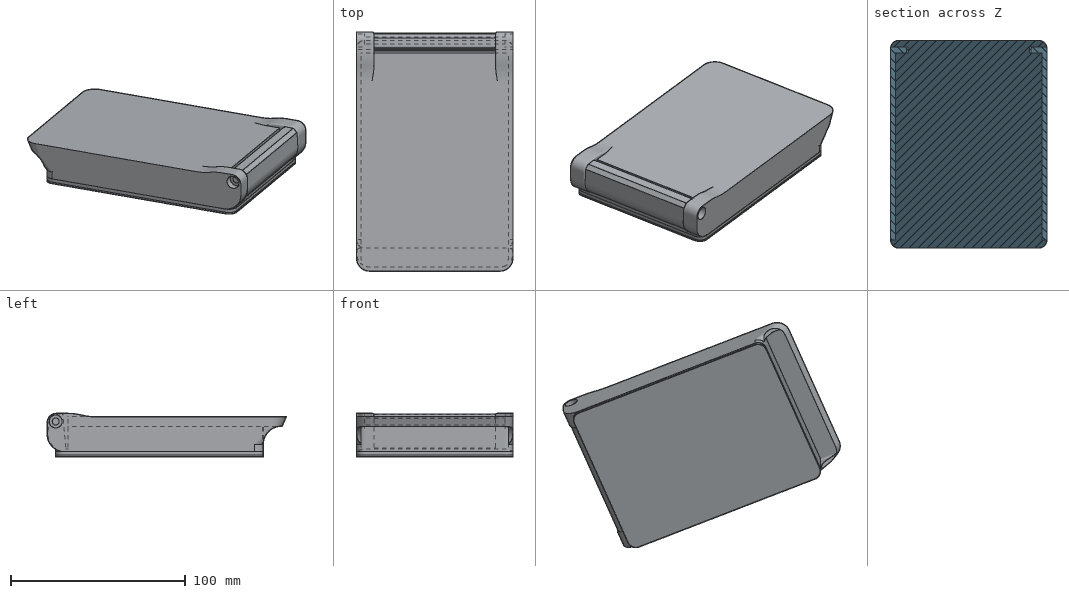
import cadquery as cq
import math

width = 89.6
overall_length = 136.93
base_length = 118.9
base_corner_radius = 4.9

pad_top = 1.0
plate_top = 3.0
box_top = 17.5
lid_top = 23.0
hinge_top = 25.0

back_overhang = 4.8
flank_thickness = 2.7
lip_setback = 2.4
lip_corner_radius = 7.6
post_top = 7.2
blend_top = 15.5

arm_width = 10.0
hinge_radius = 5.4
arm_flat_end = 12.0
arm_bend = 19.5
arm_end = 27.9
arm_bottom_radius = 10.0
arm_edge_radius = 1.0

bar_back = 0.5
bar_slope_start = 1.1
bar_flat_start = 3.4
bar_front = 8.95
bar_front_foot = 10.8
slot_floor = 4.5
bar_top = 24.6
bar_top_back = 24.35
bar_edge_radius = 0.5
box_edge_radius = 1.0

axis_from_back = 4.95
axis_z = 20.3
rod_radius = 2.0
rod_recess_radius = 3.7
rod_recess_depth = 4.5

half_width = width / 2
base_front = -base_length / 2
base_back = base_length / 2
lid_back = base_back + back_overhang
lip_front = lid_back - overall_length
lip_slope = lip_setback / (lid_top - box_top)
lip_scoop_radius = box_top - post_top
core_half_width = half_width - flank_thickness
arm_inner = half_width - arm_width
bar_slope_depth = bar_flat_start - bar_slope_start


def from_back(distance):
    """Y of a place the given distance forward of the back of the lid."""
    return lid_back - distance


def lip_front_at(z):
    """Y of the leaning lip front at height z."""
    return lip_front + lip_slope * (lid_top - z)


def base_slab(bottom, top):
    """Slab with the rounded outline of the base."""
    slab = cq.Workplane("XY").workplane(offset=bottom).rect(width, base_length).extrude(top - bottom)
    return slab.edges("|Z").fillet(base_corner_radius)


def block(half_x, y_min, y_max, z_min, z_max):
    """Block centred in X."""
    size = (2 * half_x, y_max - y_min, z_max - z_min)
    return cq.Workplane("XY").box(*size, centered=(True, False, False)).translate((0, y_min, z_min))


def side_prism(outline, x_start, x_end):
    """Extrude a closed YZ outline from x_start to x_end."""
    return outline.extrude(x_end - x_start).translate((x_start, 0, 0))


def rod_cylinder(radius, x_start, x_end):
    """Cylinder on the hinge axis."""
    circle = cq.Workplane("YZ").center(from_back(axis_from_back), axis_z).circle(radius)
    return side_prism(circle, x_start, x_end)


def make_tunnel():
    """Space between the flanks of the lid, open below the lip; the box fills it."""
    tunnel = block(core_half_width, lip_front, base_back, plate_top, box_top)
    return tunnel.edges("|Y and >Z").fillet(box_edge_radius)


def arm_outline():
    """YZ outline of an arm: round back, flat top and an S-shaped run down to the lid."""
    flat_length = arm_end - arm_flat_end
    bend_z = hinge_top - (hinge_top - lid_top) * (arm_bend - arm_flat_end) / flat_length
    bottom_start_z = plate_top + arm_bottom_radius
    return (
        cq.Workplane("YZ")
        .moveTo(from_back(arm_bottom_radius), plate_top)
        .radiusArc((lid_back, bottom_start_z), -arm_bottom_radius)
        .lineTo(lid_back, hinge_top - hinge_radius)
        .radiusArc((from_back(hinge_radius), hinge_top), -hinge_radius)
        .lineTo(from_back(arm_flat_end), hinge_top)
        .tangentArcPoint((from_back(arm_bend), bend_z), relative=False)
        .tangentArcPoint((from_back(arm_end), lid_top), relative=False)
        .lineTo(from_back(arm_end), box_top)
        .lineTo(from_back(arm_flat_end), box_top)
        .lineTo(from_back(arm_flat_end), plate_top)
        .close()
    )


def make_arm():
    """Arm on the +X side, with the edge around its inner face rounded."""
    arm = side_prism(arm_outline(), arm_inner, half_width)
    rim = cq.selectors.BoxSelector((0, from_back(arm_end), axis_z), (width, lid_back, overall_length))
    arm = arm.faces("<X").edges(rim).fillet(arm_edge_radius)
    recess = rod_cylinder(rod_recess_radius, half_width - rod_recess_depth, half_width)
    bore = rod_cylinder(rod_radius, arm_inner, half_width)
    return arm.cut(recess).cut(bore)


def cover_section(z, front, corner_radius):
    """Horizontal outline of the cover at height z, square at the back."""
    back = from_back(arm_flat_end)
    return (
        cq.Workplane("XY", origin=(0, 0, z))
        .moveTo(-half_width, back)
        .lineTo(-half_width, front + corner_radius)
        .radiusArc((-half_width + corner_radius, front), -corner_radius)
        .lineTo(half_width - corner_radius, front)
        .radiusArc((half_width, front + corner_radius), -corner_radius)
        .lineTo(half_width, back)
        .close()
        .wire()
        .val()
    )


def make_cover(posts):
    """Top plate, leaning lip and thin flanks, open around the box."""
    sections = [
        cover_section(plate_top, base_front, base_corner_radius),
        cover_section(post_top, base_front, base_corner_radius),
        cover_section(blend_top, lip_front_at(blend_top), lip_corner_radius),
        cover_section(lid_top, lip_front, lip_corner_radius),
    ]
    cover = cq.Workplane(cq.Solid.makeLoft(sections, True))
    scoop = (
        cq.Workplane("YZ")
        .moveTo(base_front, post_top)
        .radiusArc((base_front - lip_scoop_radius, box_top), -lip_scoop_radius)
        .lineTo(lip_front, box_top)
        .lineTo(lip_front, post_top)
        .close()
    )
    return cover.cut(side_prism(scoop, -half_width, half_width)).cut(make_tunnel()).cut(posts)


def make_core():
    """Part of the box between the flanks of the lid."""
    return base_slab(plate_top, box_top).intersect(make_tunnel())


def make_posts():
    """Full-width rounded ends of the box, below the lid corners."""
    middle_front = base_front + base_corner_radius
    middle = block(half_width, middle_front, from_back(arm_bottom_radius), plate_top, post_top)
    return base_slab(plate_top, post_top).cut(middle)


def make_bar():
    """Hinge bar along the back of the box, with a leaning front face."""
    under_radius = arm_bottom_radius - bar_back
    under_z = plate_top + arm_bottom_radius
    under_end_z = under_z - math.sqrt(under_radius**2 - (arm_bottom_radius - back_overhang) ** 2)
    foot = from_back(bar_front_foot)
    outline = (
        cq.Workplane("YZ")
        .moveTo(foot, plate_top)
        .lineTo(base_back, plate_top)
        .lineTo(base_back, under_end_z)
        .radiusArc((from_back(bar_back), under_z), -under_radius)
        .lineTo(from_back(bar_slope_start), bar_top_back - bar_slope_depth)
        .lineTo(from_back(bar_flat_start), bar_top_back)
        .lineTo(from_back(bar_front), bar_top)
        .lineTo(foot, slot_floor)
        .close()
    )
    bar = side_prism(outline, -arm_inner, arm_inner)
    top_middle = (0, from_back((bar_flat_start + bar_front) / 2), bar_top)
    top_face = cq.selectors.NearestToPointSelector(top_middle)
    top_edges = bar.faces(top_face).edges("not(<Z)")
    return top_edges.fillet(bar_edge_radius)


posts = make_posts()
arm_space = side_prism(arm_outline(), arm_inner, half_width)
slot = block(arm_inner, from_back(arm_flat_end), base_back, slot_floor, box_top)
rod_end = half_width - rod_recess_depth

pad = base_slab(0, pad_top)
plate = base_slab(pad_top, plate_top)

right_arm = make_arm()
lid = make_cover(posts).union(right_arm).union(right_arm.mirror("YZ"))

rod = rod_cylinder(rod_radius, -rod_end, rod_end)

box = make_core().union(posts)
box = box.cut(arm_space).cut(arm_space.mirror("YZ")).cut(slot)
box = box.union(make_bar()).cut(rod)

result = cq.Compound.makeCompound([pad.val(), plate.val(), box.val(), lid.val(), rod.val()])